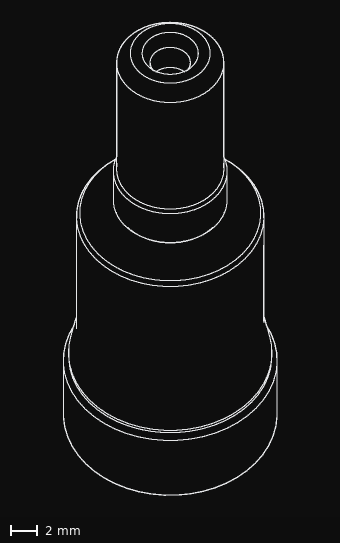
import cadquery as cq
import math

total_height = 41.0

cap_radius = 15.95 / 2
cap_height = 6.9
cap_top_chamfer = 0.4
cap_bottom_fillet = 0.5

foot_radius = 15.15 / 2
foot_fillet = 0.45
flare_bottom_z = cap_height + foot_fillet
flare_mid_z = 8.8
flare_mid_radius = 7.35
flare_top_z = 10.2
flare_blend = 1.02
root_margin = 0.05
shoulder_radius = 14.0 / 2
shoulder_z = 23.05
shoulder_chamfer_width = 0.25
shoulder_chamfer_height = 0.35

shank_radius = 8.0 / 2
relief_outer_radius = 5.2
relief_angle = math.radians(14)
relief_fillet = 0.35

collar_radius = 8.5 / 2
collar_bottom_z = 24.2
collar_bottom_chamfer = 0.33
collar_top_z = 28.0
collar_top_chamfer = 0.25
tip_chamfer = 1.02

center_hole_radius = 3.0 / 2
center_hole_depth = 3.3
countersink_radius = 2.1
countersink_depth = 1.02
drill_point_angle = math.radians(118)


def make_cap():
    cap = cq.Workplane("XY").circle(cap_radius).extrude(cap_height)
    cap = cap.faces(">Z").edges().chamfer(cap_top_chamfer)
    return cap.faces("<Z").edges().fillet(cap_bottom_fillet)


def relief_arc():
    """Start, middle and end of the relief arc, from the sloping shoulder face up to the shank."""
    center_r = shank_radius + relief_fillet
    start_r = center_r + relief_fillet * math.sin(relief_angle)
    start_z = shoulder_z - (relief_outer_radius - start_r) * math.tan(relief_angle)
    center_z = start_z + relief_fillet * math.cos(relief_angle)
    mid_angle = (relief_angle - math.pi / 2 - math.pi) / 2
    middle = (center_r + relief_fillet * math.cos(mid_angle), center_z + relief_fillet * math.sin(mid_angle))
    return (start_r, start_z), middle, (shank_radius, center_z)


def make_pin_blank():
    relief_start, relief_middle, relief_end = relief_arc()
    outline = (
        cq.Workplane("XZ")
        .moveTo(0, cap_height)
        .lineTo(foot_radius - foot_fillet, cap_height)
        .radiusArc((foot_radius, flare_bottom_z), -foot_fillet)
        .threePointArc((flare_mid_radius, flare_mid_z), (shoulder_radius, flare_top_z))
        .lineTo(shoulder_radius, shoulder_z - shoulder_chamfer_height)
        .lineTo(shoulder_radius - shoulder_chamfer_width, shoulder_z)
        .lineTo(relief_outer_radius, shoulder_z)
        .lineTo(*relief_start)
        .threePointArc(relief_middle, relief_end)
        .lineTo(shank_radius, collar_bottom_z)
        .lineTo(collar_radius, collar_bottom_z + collar_bottom_chamfer)
        .lineTo(collar_radius, collar_top_z - collar_top_chamfer)
        .lineTo(shank_radius, collar_top_z)
        .lineTo(shank_radius, total_height - tip_chamfer)
        .lineTo(shank_radius - tip_chamfer, total_height)
        .lineTo(0, total_height)
        .close()
    )
    blank = outline.revolve(360, (0, 0, 0), (0, 1, 0))
    root = cq.selectors.BoxSelector(
        (-cap_radius, -cap_radius, flare_top_z - root_margin), (cap_radius, cap_radius, flare_top_z + root_margin)
    )
    return blank.edges("%CIRCLE").edges(root).fillet(flare_blend)


def make_center_hole():
    point_depth = center_hole_radius / math.tan(drill_point_angle / 2)
    hole_bottom_z = total_height - center_hole_depth
    return (
        cq.Workplane("XZ")
        .moveTo(0, total_height)
        .lineTo(countersink_radius, total_height)
        .lineTo(center_hole_radius, total_height - countersink_depth)
        .lineTo(center_hole_radius, hole_bottom_z)
        .lineTo(0, hole_bottom_z - point_depth)
        .close()
        .revolve(360, (0, 0, 0), (0, 1, 0))
    )


cap = make_cap()
pin = make_pin_blank().cut(make_center_hole())

result = cq.Compound.makeCompound([cap.val(), pin.val()])